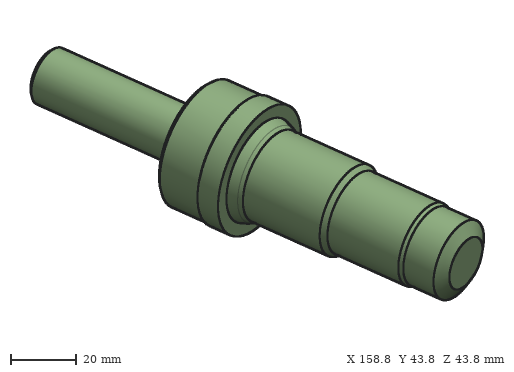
import cadquery as cq

total_length = 158.8

spindle_radius = 9.5
collar_radius = 21.5
flange_radius = 21.9
neck_radius = 17.5
large_radius = 15.4
middle_radius = 14.0
small_radius = 13.3
tip_radius = 8.7

collar_start = 57.2
flange_start = 72.9
flange_end = 80.6
large_start = 85.4
large_end = 114.5
middle_start = 116.4
middle_end = 143.2
small_start = 144.6
tip_start = 156.0

edge_chamfer = 1.1
spindle_fillet = 1.0
neck_curve_end = 84.0
neck_curve_end_radius = 16.2
neck_curve_mid = 82.4
neck_curve_mid_radius = 17.0
diagonal = 0.5 ** 0.5

profile = (
    cq.Workplane("XY")
    .moveTo(0, 0)
    .lineTo(0, spindle_radius - edge_chamfer)
    .lineTo(edge_chamfer, spindle_radius)
    .lineTo(collar_start - spindle_fillet, spindle_radius)
    .threePointArc(
        (
            collar_start - spindle_fillet * (1 - diagonal),
            spindle_radius + spindle_fillet * (1 - diagonal),
        ),
        (collar_start, spindle_radius + spindle_fillet),
    )
)

profile = (
    profile
    .lineTo(collar_start, collar_radius - edge_chamfer)
    .lineTo(collar_start + edge_chamfer, collar_radius)
    .lineTo(flange_start, collar_radius)
    .lineTo(flange_start, flange_radius)
    .lineTo(flange_end, flange_radius)
    .lineTo(flange_end, neck_radius)
    .threePointArc(
        (neck_curve_mid, neck_curve_mid_radius),
        (neck_curve_end, neck_curve_end_radius),
    )
    .lineTo(large_start, large_radius)
)

profile = (
    profile
    .lineTo(large_end, large_radius)
    .lineTo(middle_start, middle_radius)
    .lineTo(middle_end, middle_radius)
    .lineTo(small_start, small_radius)
    .lineTo(tip_start, small_radius)
    .lineTo(total_length, tip_radius)
    .lineTo(total_length, 0)
    .close()
)

result = profile.revolve(360, (0, 0, 0), (1, 0, 0))